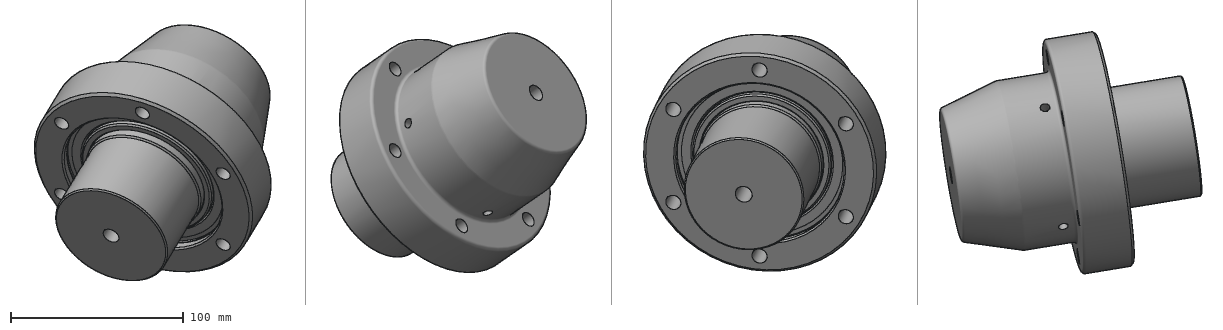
import cadquery as cq
import math


flange_radius = 69.2
flange_thickness = 30.2
flange_chamfer = 1.5
flange_rounding = 2.0
barrel_radius = 50.0
barrel_end = 61.5
nose_end = 96.3
nose_tip_radius = 39.3
nose_tip_rounding = 2.0
nose_base_rounding = 3.0

mouth_radius = 50.0
mouth_chamfer = 1.0
mouth_depth = 7.4
mouth_groove_radius = 50.4
mouth_groove_width = 2.0

bolt_count = 6
bolt_circle_radius = 59.1
bolt_hole_diameter = 9.0
radial_hole_count = 4
radial_hole_diameter = 5.5
radial_hole_y = 38.5
radial_hole_tilt = 15
axial_hole_diameter = 10.0

gland_radius = 47.9
gland_rear = flange_thickness
gland_bore_radius = 41.3
gland_chamfer = 1.0

sleeve_radius = 41.0
sleeve_shoulder_radius = 42.6
sleeve_front = 5.4
sleeve_chamfer = 1.0
sleeve_bore_chamfer = 0.5

rod_protrusion = 142 - nose_end
rod_radius = 35.5
rod_end_chamfer = 0.9
journal_radius = 36.5
journal_front = 0.4
seat_end = barrel_end


def revolve_profile(points):
    """Solid of revolution about the Y axis from (radius, Y) points."""
    outline = [(y, radius) for radius, y in points]
    return cq.Workplane("YZ").polyline(outline).close().revolve(360, (0, 0, 0), (1, 0, 0))


def cylinder(radius, start, end):
    """Solid cylinder on the Y axis between two Y positions."""
    return revolve_profile([(0, start), (radius, start), (radius, end), (0, end)])


def bore_chamfer(radius, face, size):
    """Cutter that chamfers the front rim of a bore."""
    return revolve_profile([(0, face), (radius + size, face), (radius, face + size), (0, face + size)])


def axial_hole():
    return cylinder(axial_hole_diameter / 2, -rod_protrusion, nose_end)


def round_rim(body, radius, y, rounding):
    """Fillet the circular edge that has the given radius and Y position."""
    def is_rim(edge):
        return abs(edge.radius() - radius) < 0.01 and abs(edge.Center().y - y) < 0.01

    return body.newObject(body.edges("%CIRCLE").filter(is_rim).vals()).fillet(rounding)


def make_housing_blank():
    """Housing without its bores and holes."""
    blank = revolve_profile([
        (0, 0),
        (flange_radius - flange_chamfer, 0),
        (flange_radius, flange_chamfer),
        (flange_radius, flange_thickness),
        (barrel_radius, flange_thickness),
        (barrel_radius, barrel_end),
        (nose_tip_radius, nose_end),
        (0, nose_end),
    ])
    blank = round_rim(blank, flange_radius, flange_thickness, flange_rounding)
    blank = round_rim(blank, barrel_radius, flange_thickness, flange_rounding)
    blank = round_rim(blank, barrel_radius, barrel_end, nose_base_rounding)
    return round_rim(blank, nose_tip_radius, nose_end, nose_tip_rounding)


def make_housing():
    housing = make_housing_blank()
    housing = housing.cut(cylinder(mouth_radius, 0, mouth_depth))
    housing = housing.cut(bore_chamfer(mouth_radius, 0, mouth_chamfer))
    housing = housing.cut(cylinder(mouth_groove_radius, mouth_depth - mouth_groove_width, mouth_depth))
    housing = housing.cut(cylinder(gland_radius, mouth_depth, gland_rear))
    housing = housing.cut(cylinder(sleeve_shoulder_radius, gland_rear, seat_end))
    housing = housing.cut(axial_hole())
    for index in range(bolt_count):
        angle = math.radians(90 + index * 360 / bolt_count)
        hole = cylinder(bolt_hole_diameter / 2, 0, flange_thickness).translate(
            (bolt_circle_radius * math.cos(angle), 0, bolt_circle_radius * math.sin(angle)))
        housing = housing.cut(hole)
    for index in range(radial_hole_count):
        hole = (cq.Workplane("YZ", origin=(-barrel_radius, radial_hole_y, 0))
                .circle(radial_hole_diameter / 2).extrude(barrel_radius))
        hole = hole.rotate((0, 0, 0), (0, 1, 0), radial_hole_tilt + index * 360 / radial_hole_count)
        housing = housing.cut(hole)
    return housing


def make_gland():
    gland = cylinder(gland_radius, mouth_depth, gland_rear)
    gland = gland.cut(cylinder(gland_bore_radius, mouth_depth, gland_rear))
    return gland.cut(bore_chamfer(gland_bore_radius, mouth_depth, gland_chamfer))


def make_sleeve():
    sleeve = cylinder(sleeve_radius, sleeve_front, seat_end).faces("<Y").edges().chamfer(sleeve_chamfer)
    sleeve = sleeve.union(cylinder(sleeve_shoulder_radius, gland_rear, seat_end))
    sleeve = sleeve.cut(cylinder(journal_radius, sleeve_front, seat_end))
    return sleeve.cut(bore_chamfer(journal_radius, sleeve_front, sleeve_bore_chamfer))


def make_rod():
    rod = revolve_profile([
        (0, -rod_protrusion),
        (rod_radius - rod_end_chamfer, -rod_protrusion),
        (rod_radius, -rod_protrusion + rod_end_chamfer),
        (rod_radius, journal_front),
        (journal_radius, journal_front + journal_radius - rod_radius),
        (journal_radius, seat_end),
        (0, seat_end),
    ])
    return rod.cut(axial_hole())


housing = make_housing()
gland = make_gland()
sleeve = make_sleeve()
rod = make_rod()
result = cq.Compound.makeCompound([housing.val(), gland.val(), sleeve.val(), rod.val()])